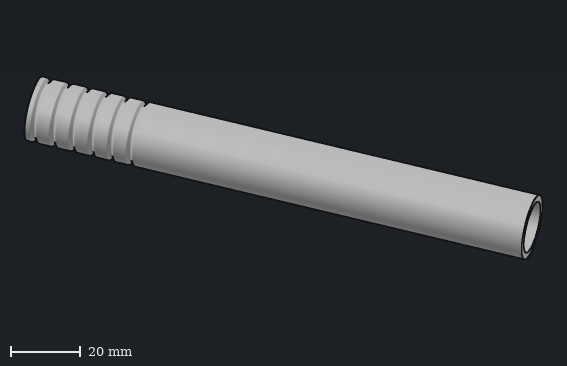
import cadquery as cq
import math

length = 150.0
outer_diameter = 19.0
bore_diameter = 15.0

groove_count = 6
first_groove_center = 2.5
last_groove_center = 31.5
groove_floor_diameter = 16.8
flank_angle = math.radians(55)
floor_radius = 0.3
crest_radius = 0.5

face_groove_outer_diameter = 17.8
face_groove_inner_diameter = 17.1
face_groove_depth = 0.8

inner_groove_diameter = 17.1
inner_groove_start = 4.4
inner_groove_width = 2.0

end_x = -length / 2
outer_radius = outer_diameter / 2


def ring(big_diameter, small_diameter, start, width):
    """Rectangular-section ring about X, starting a given distance from the grooved end."""
    plane = cq.Workplane("YZ", origin=(end_x + start, 0, 0))
    return plane.circle(big_diameter / 2).circle(small_diameter / 2).extrude(width)


def groove_cutter(center_x):
    """Rounded V-section ring about X that cuts one outer groove."""
    floor_r = groove_floor_diameter / 2
    sine = math.sin(flank_angle)
    cosine = math.cos(flank_angle)

    flank_foot_x = floor_radius * sine
    flank_foot_r = floor_r + floor_radius * (1 - cosine)

    flank_top_r = outer_radius - crest_radius * (1 - cosine)
    flank_top_x = flank_foot_x + (flank_top_r - flank_foot_r) / math.tan(flank_angle)
    crest_x = flank_top_x + crest_radius * sine
    crest_middle_x = crest_x - crest_radius * math.sin(flank_angle / 2)
    crest_middle_r = outer_radius - crest_radius * (1 - math.cos(flank_angle / 2))

    section = (
        cq.Workplane("XY", origin=(center_x, 0, 0))
        .moveTo(-crest_x, outer_radius)
        .threePointArc((-crest_middle_x, crest_middle_r), (-flank_top_x, flank_top_r))
        .lineTo(-flank_foot_x, flank_foot_r)
        .threePointArc((0, floor_r), (flank_foot_x, flank_foot_r))
        .lineTo(flank_top_x, flank_top_r)
        .threePointArc((crest_middle_x, crest_middle_r), (crest_x, outer_radius))
        .close()
    )
    return section.revolve(360, (0, 0, 0), (1, 0, 0))


result = ring(outer_diameter, bore_diameter, 0, length)

groove_pitch = (last_groove_center - first_groove_center) / (groove_count - 1)
for index in range(groove_count):
    result = result.cut(groove_cutter(end_x + first_groove_center + index * groove_pitch))

result = result.cut(ring(face_groove_outer_diameter, face_groove_inner_diameter, 0, face_groove_depth))

result = result.cut(ring(inner_groove_diameter, bore_diameter, inner_groove_start, inner_groove_width))